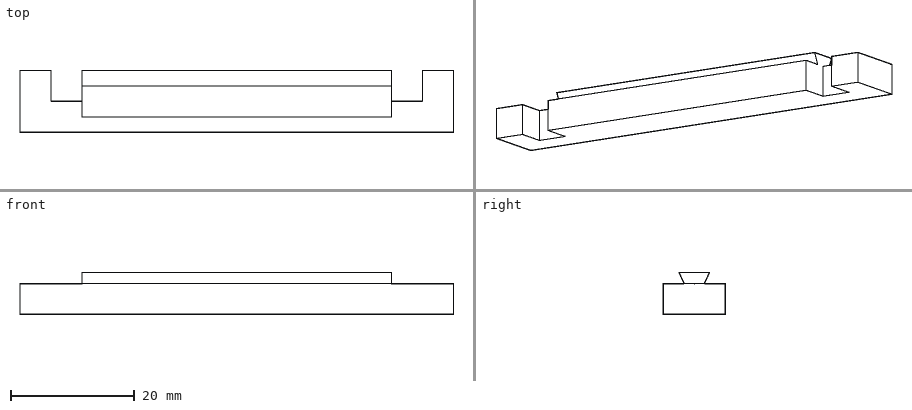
import cadquery as cq

length = 70.0
depth = 10.0
total_height = 6.8
base_height = 5.0
notch_width = 5.0
notch_depth = 5.0
rail_length = 50.0
rail_top_width = 5.0
rail_bottom_width = 3.3

notch_center_x = (rail_length + notch_width) / 2
notch_center_y = (depth - notch_depth) / 2

base = cq.Workplane("XY").box(length, depth, base_height, centered=(True, True, False))

notches = (
    cq.Workplane("XY")
    .pushPoints([(side * notch_center_x, notch_center_y) for side in (-1, 1)])
    .rect(notch_width, notch_depth)
    .extrude(base_height)
)

rail = (
    cq.Workplane("YZ")
    .polyline([
        (-rail_bottom_width / 2, base_height),
        (rail_bottom_width / 2, base_height),
        (rail_top_width / 2, total_height),
        (-rail_top_width / 2, total_height),
    ])
    .close()
    .extrude(rail_length / 2, both=True)
)

result = base.cut(notches).union(rail)